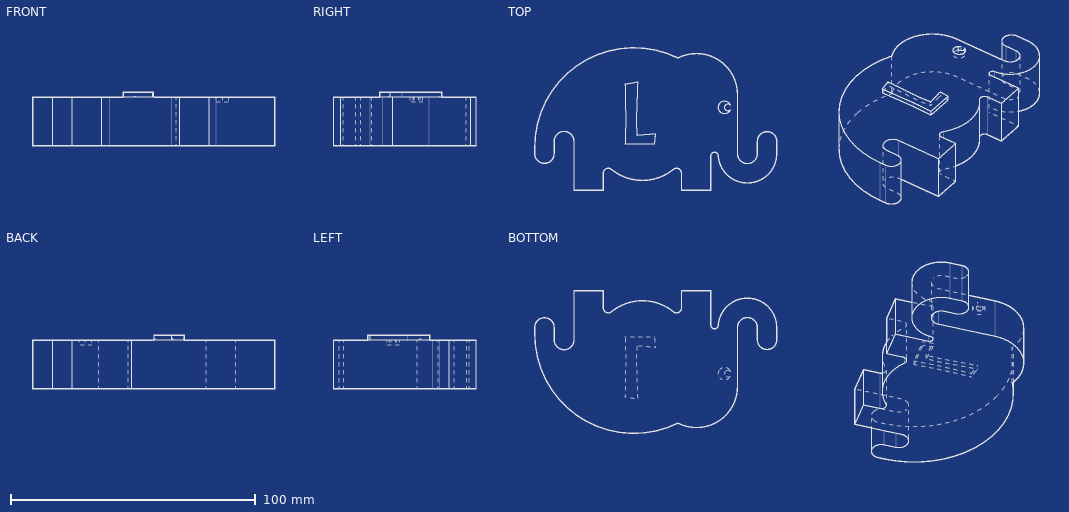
import cadquery as cq
import math

body_height = 20.0
letter_height = 2.0
eye_depth = 2.0

overall_length = 99.05
limb_width = 8.0
limb_radius = limb_width / 2
low_bend_y = 15.1
high_bend_y = 20.1
trunk_outer_radius = limb_radius + limb_width
trunk_x = overall_length - trunk_outer_radius
face_x = trunk_x - limb_radius
trunk_inner_x = trunk_x + limb_radius
trunk_tip_x = overall_length - limb_radius

leg_width = 12.1
hind_leg_x = 2 * limb_width
hind_leg_end_x = hind_leg_x + leg_width
front_leg_x = 60.0
front_leg_end_x = front_leg_x + leg_width

trunk_notch_radius = (trunk_x - trunk_outer_radius - front_leg_end_x) / 2
trunk_notch_y = 14.2

belly_radius = 20.0
belly_bottom_y = 4.1
belly_notch_radius = 2.0
belly_x = (hind_leg_end_x + front_leg_x) / 2
belly_y = belly_bottom_y + belly_radius
belly_notch_offset = belly_x - hind_leg_end_x - belly_notch_radius
belly_notch_y = belly_y - math.sqrt((belly_radius + belly_notch_radius) ** 2 - belly_notch_offset ** 2)

back_radius = 40.6
back_center = (back_radius, 17.8)
head_radius = 16.8
head_center = (face_x - head_radius, 39.2)

eye_center = (77.7, 34.0)
eye_radius = 2.6
pupil_offset = 1.4
pupil_radius = 1.4

letter_left_x = 37.0
letter_bottom_y = 18.9
letter_bend_y = 28.0
letter_bend_left_x = 37.3
letter_bend_right_x = 41.6
letter_foot_end = (49.0, letter_bottom_y)
letter_foot_tip = (49.4, 23.2)
letter_inner_corner = (41.9, 22.6)
letter_top_right = (42.2, 44.4)
letter_top_left = (letter_left_x, 43.5)


def on_circle(center, radius, degrees):
    """Point on a circle at an angle counted from +X."""
    angle = math.radians(degrees)
    return (center[0] + radius * math.cos(angle), center[1] + radius * math.sin(angle))


def upper_crossing(center_a, radius_a, center_b, radius_b):
    """Upper crossing point of two circles, where circle b lies to the right of circle a."""
    dx = center_b[0] - center_a[0]
    dy = center_b[1] - center_a[1]
    distance = math.hypot(dx, dy)
    along = (radius_a ** 2 - radius_b ** 2 + distance ** 2) / (2 * distance)
    across = math.sqrt(radius_a ** 2 - along ** 2)
    return (
        center_a[0] + (along * dx - across * dy) / distance,
        center_a[1] + (along * dy + across * dx) / distance,
    )


def make_elephant():
    """Elephant-shaped plate, traced from the tail along the underside and back over the head."""
    neck = upper_crossing(back_center, back_radius, head_center, head_radius)
    tail_gap_x = limb_width + limb_radius

    tangent_share = belly_radius / (belly_radius + belly_notch_radius)
    tangent_dx = belly_notch_offset * tangent_share
    tangent_y = belly_y + (belly_notch_y - belly_y) * tangent_share
    hind_notch_x = belly_x - belly_notch_offset
    front_notch_x = belly_x + belly_notch_offset
    notch_top_y = belly_notch_y + belly_notch_radius

    trunk_notch_x = front_leg_end_x + trunk_notch_radius
    trunk_start_x = trunk_x - math.sqrt(trunk_outer_radius ** 2 - (trunk_notch_y - low_bend_y) ** 2)

    outline = (
        cq.Workplane("XY")
        .moveTo(0, back_center[1])
        .lineTo(0, low_bend_y)
        .threePointArc((limb_radius, low_bend_y - limb_radius), (limb_width, low_bend_y))
        .lineTo(limb_width, high_bend_y)
        .threePointArc((tail_gap_x, high_bend_y + limb_radius), (hind_leg_x, high_bend_y))
        .lineTo(hind_leg_x, 0)
        .lineTo(hind_leg_end_x, 0)
        .lineTo(hind_leg_end_x, belly_notch_y)
        .threePointArc((hind_notch_x, notch_top_y), (belly_x - tangent_dx, tangent_y))
        .threePointArc((belly_x, belly_bottom_y), (belly_x + tangent_dx, tangent_y))
        .threePointArc((front_notch_x, notch_top_y), (front_leg_x, belly_notch_y))
        .lineTo(front_leg_x, 0)
        .lineTo(front_leg_end_x, 0)
        .lineTo(front_leg_end_x, trunk_notch_y)
        .threePointArc((trunk_notch_x, trunk_notch_y + trunk_notch_radius), (trunk_start_x, trunk_notch_y))
        .threePointArc((trunk_x, low_bend_y - trunk_outer_radius), (overall_length, low_bend_y))
        .lineTo(overall_length, high_bend_y)
        .threePointArc((trunk_tip_x, high_bend_y + limb_radius), (trunk_inner_x, high_bend_y))
        .lineTo(trunk_inner_x, low_bend_y)
        .threePointArc((trunk_x, low_bend_y - limb_radius), (face_x, low_bend_y))
        .lineTo(face_x, head_center[1])
        .threePointArc(on_circle(head_center, head_radius, 45), neck)
        .threePointArc(on_circle(back_center, back_radius, 120), (0, back_center[1]))
        .close()
    )
    return outline.extrude(body_height)


def make_eye():
    """Crescent inlay whose top is flush with the top face of the elephant."""
    floor = cq.Workplane("XY").workplane(offset=body_height - eye_depth)
    disc = floor.center(*eye_center).circle(eye_radius).extrude(eye_depth)
    pupil = floor.center(eye_center[0] + pupil_offset, eye_center[1]).circle(pupil_radius).extrude(eye_depth)
    return disc.cut(pupil)


def make_letter():
    """Raised L-shaped plate with slightly bent sides, resting on the top face."""
    return (
        cq.Workplane("XY")
        .workplane(offset=body_height)
        .moveTo(letter_left_x, letter_bottom_y)
        .lineTo(*letter_foot_end)
        .lineTo(*letter_foot_tip)
        .lineTo(*letter_inner_corner)
        .lineTo(letter_bend_right_x, letter_bend_y)
        .lineTo(*letter_top_right)
        .lineTo(*letter_top_left)
        .lineTo(letter_bend_left_x, letter_bend_y)
        .close()
        .extrude(letter_height)
    )


eye = make_eye()
elephant = make_elephant().cut(eye)
letter = make_letter()

result = cq.Compound.makeCompound([elephant.val(), eye.val(), letter.val()])